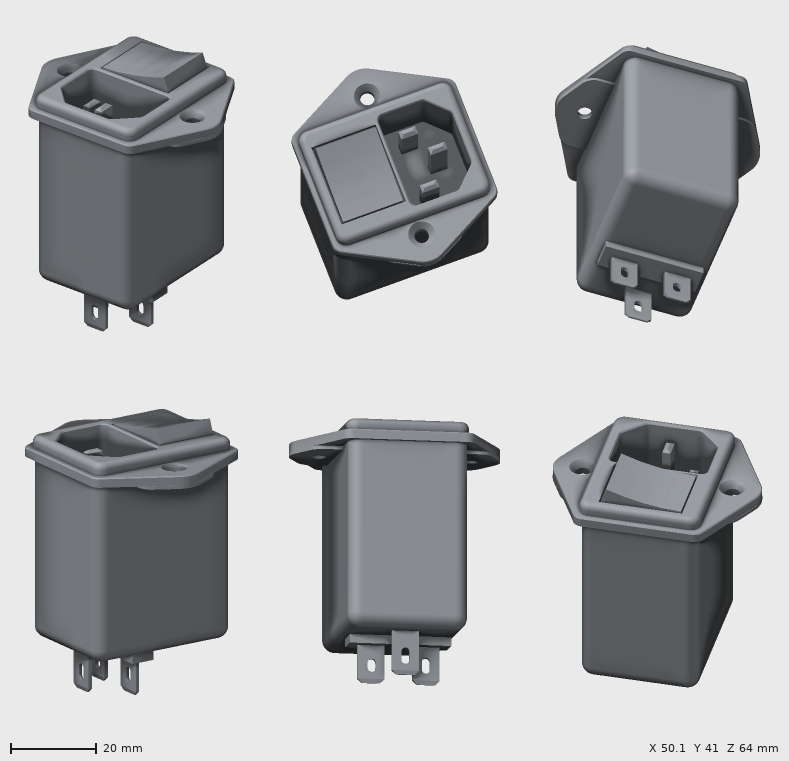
import math

import cadquery as cq

overall_height = 64.02

flange_length = 50.12
flange_width = 41.0
flange_thickness = 2.3
flange_chamfer = 0.25
flange_tip_radius = 6.0
flange_corner_radius = 2.5
side_lean = 28.15

pad_width = 20.6
pad_height = 0.85
pad_tip_radius = 6.75
pad_corner_radius = 4.0

hole_spacing = 36.1
hole_diameter = 3.4
countersink_diameter = 6.3
countersink_angle = 90

case_length = 28.4
case_width = 38.3
case_depth = 44.25
case_radius = 3.0

bezel_length = 29.2
bezel_width = case_width
bezel_top = 5.25
bezel_corner_radius = 2.5
bezel_edge_radius = 1.5

rocker_length = 19.3
rocker_width = 15.0
rocker_y = 9.0
seat_top = 5.35
rocker_mid_x = -0.7
rocker_mid_z = 6.25
rocker_ridge_x = 8.37
rocker_ridge_z = 8.76
groove_length = 20.1
groove_width = 16.1
groove_depth = 2.0

socket_length = 23.6
socket_width = 16.95
socket_y = -8.4
socket_depth = 17.0
socket_cut = 5.25
socket_radius = 1.5
socket_chamfer = 0.3

pin_size_x = 2.0
pin_size_y = 4.2
pin_bevel = 0.9
pin_bevel_height = 0.6
line_pin_x = 7.0
line_pin_y = -6.1
line_pin_top = 0.5
earth_pin_y = -10.8
earth_pin_top = 3.9

block_length = 24.2
block_width = 5.9
block_height = 2.05
block_y = -4.85
tab_width = 6.4
tab_thickness = 0.9
tab_bevel = 1.0
tab_tip_thickness = 0.4
line_tab_x = 6.58
line_tab_tip = rocker_ridge_z - overall_height
earth_tab_y = -13.75
earth_tab_tip = line_tab_tip + 0.55

slot_width = 2.0
left_slot_x = -6.4
left_slot_length = 3.1
right_slot_x = 6.52
right_slot_length = 3.7
earth_slot_length = 3.85
line_slot_bottom = line_tab_tip + 2.65
earth_slot_bottom = line_slot_bottom + 0.5


def hexagon_plate(width, tip_radius, corner_radius, bottom, height):
    """Hexagonal plate spanning the flange length, with rounded tips and corners."""
    lean = math.radians(side_lean)
    tip_x = flange_length / 2 - tip_radius + tip_radius / math.cos(lean)
    corner_y = width / 2
    corner_x = tip_x - corner_y * math.tan(lean)
    outline = [
        (tip_x, 0),
        (corner_x, corner_y),
        (-corner_x, corner_y),
        (-tip_x, 0),
        (-corner_x, -corner_y),
        (corner_x, -corner_y),
    ]
    plate = cq.Workplane("XY").workplane(offset=bottom).polyline(outline).close().extrude(height)
    plate = plate.edges("|Z").edges(">X or <X").fillet(tip_radius)
    return plate.edges("|Z").edges(">Y or <Y").fillet(corner_radius)


def box(length, width, bottom, top, x=0, y=0):
    """Upright box centred on (x, y) between two heights."""
    return (
        cq.Workplane("XY")
        .workplane(offset=bottom)
        .center(x, y)
        .rect(length, width)
        .extrude(top - bottom)
    )


def shell_blocks():
    """Solid flange, pads, case and bezel."""
    flange = hexagon_plate(flange_width, flange_tip_radius, flange_corner_radius, 0, flange_thickness)
    flange = flange.faces(">Z").edges().chamfer(flange_chamfer)
    pads = hexagon_plate(pad_width, pad_tip_radius, pad_corner_radius, -pad_height, pad_height)
    case = box(case_length, case_width, -case_depth, flange_thickness / 2)
    case = case.edges("|Z").fillet(case_radius)
    case = case.faces("<Z").edges().fillet(case_radius)
    bezel = box(bezel_length, bezel_width, flange_thickness / 2, bezel_top)
    bezel = bezel.edges("|Z").fillet(bezel_corner_radius)
    bezel = bezel.faces(">Z").edges().fillet(bezel_edge_radius)
    return flange.union(pads).union(case).union(bezel)


def mounting_holes(body):
    """Drill the two countersunk holes through the flange and its pads."""
    return (
        body.copyWorkplane(cq.Workplane("XY", origin=(0, 0, flange_thickness)))
        .pushPoints([(-hole_spacing / 2, 0), (hole_spacing / 2, 0)])
        .cskHole(hole_diameter, countersink_diameter, countersink_angle, flange_thickness + pad_height)
    )


def socket_recess():
    """Inlet recess with rounded corners, two slanted corners and a chamfered mouth."""
    half = socket_length / 2
    back = socket_y + socket_width / 2
    front = socket_y - socket_width / 2
    outline = [
        (half, back),
        (-half, back),
        (-half, front + socket_cut),
        (-half + socket_cut, front),
        (half - socket_cut, front),
        (half, front + socket_cut),
    ]
    recess = cq.Workplane("XY").workplane(offset=bezel_top).polyline(outline).close().extrude(-socket_depth)
    recess = recess.edges("|Z").fillet(socket_radius)
    mouth = recess.faces(">Z").wires().toPending().offset2D(socket_chamfer)
    mouth = mouth.extrude(-socket_chamfer, combine=False, taper=45)
    return recess.union(mouth)


def pin(x, y, top):
    """Contact pin standing on the socket floor, its tip bevelled on all four sides."""
    floor = bezel_top - socket_depth
    shoulder = top - pin_bevel_height
    shank = box(pin_size_x, pin_size_y, floor, shoulder, x, y)
    tip = (
        cq.Workplane("XY")
        .workplane(offset=shoulder)
        .center(x, y)
        .rect(pin_size_x, pin_size_y)
        .workplane(offset=pin_bevel_height)
        .rect(pin_size_x - 2 * pin_bevel, pin_size_y - 2 * pin_bevel)
        .loft(combine=True)
    )
    return shank.union(tip)


def tab(x, y, tip, top):
    """Blade terminal with a bevelled, tapered tip."""
    shoulder = tip + tab_bevel
    blade = box(tab_width, tab_thickness, shoulder, top, x, y)
    end = (
        cq.Workplane("XY")
        .workplane(offset=shoulder)
        .center(x, y)
        .rect(tab_width, tab_thickness)
        .workplane(offset=-tab_bevel)
        .rect(tab_width - 2 * tab_bevel, tab_tip_thickness)
        .loft(combine=True)
    )
    return blade.union(end)


def tab_slot(x, y, bottom, length):
    """Cutter for the upright round-ended slot through a tab."""
    return (
        cq.Workplane("XZ", origin=(x, y, bottom + length / 2))
        .slot2D(length, slot_width, 90)
        .extrude(tab_thickness, both=True)
    )


def rocker_groove_and_seat(body):
    """Cut the rectangular groove and leave the rocker's seat standing inside it."""
    groove_floor = bezel_top - groove_depth
    body = body.cut(box(groove_length, groove_width, groove_floor, bezel_top, y=rocker_y))
    return body.union(box(rocker_length, rocker_width, groove_floor, seat_top, y=rocker_y))


def inlet_socket(body):
    """Cut the inlet recess and stand the three contact pins in it."""
    body = body.cut(socket_recess())
    for x in (-line_pin_x, line_pin_x):
        body = body.union(pin(x, line_pin_y, line_pin_top))
    return body.union(pin(0, earth_pin_y, earth_pin_top))


def terminals(body):
    """Add the terminal block and the three slotted tabs under the case."""
    block_bottom = -case_depth - block_height
    body = body.union(box(block_length, block_width, block_bottom, -case_depth, y=block_y))
    for x in (-line_tab_x, line_tab_x):
        body = body.union(tab(x, block_y, line_tab_tip, block_bottom))
    body = body.union(tab(0, earth_tab_y, earth_tab_tip, -case_depth))
    body = body.cut(tab_slot(left_slot_x, block_y, line_slot_bottom, left_slot_length))
    body = body.cut(tab_slot(right_slot_x, block_y, line_slot_bottom, right_slot_length))
    return body.cut(tab_slot(0, earth_tab_y, earth_slot_bottom, earth_slot_length))


def make_housing():
    """Flanged case with its rocker seat, inlet socket and terminals, all one solid."""
    body = mounting_holes(shell_blocks())
    body = rocker_groove_and_seat(body)
    body = inlet_socket(body)
    return terminals(body)


def make_rocker():
    """Wedge on the seat, its hollow-curved top rising from a sharp heel to a ridge."""
    half = rocker_length / 2
    profile = (
        cq.Workplane("XZ", origin=(0, rocker_y, 0))
        .moveTo(-half, seat_top)
        .lineTo(half, seat_top)
        .lineTo(rocker_ridge_x, rocker_ridge_z)
        .threePointArc((rocker_mid_x, rocker_mid_z), (-half, seat_top))
        .close()
    )
    return profile.extrude(rocker_width / 2, both=True)


housing = make_housing()
rocker = make_rocker()
result = cq.Compound.makeCompound([housing.val(), rocker.val()])